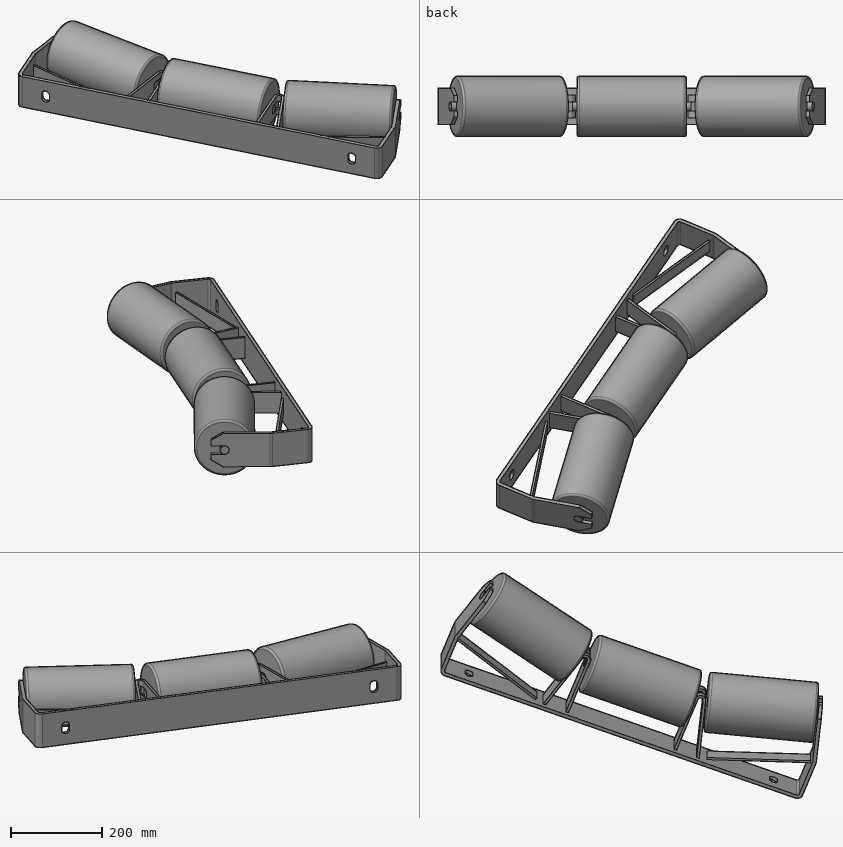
import cadquery as cq
import math


ROLLER_DIAMETER = 133.0
ROLLER_LENGTH = 240.0
ROLLER_EDGE_RADIUS = 5.0
SHAFT_DIAMETER = 20.0
ROLLER_GAP = 4.0
TROUGH_ANGLE = 15.0
CENTER_ROLLER_Y = 125.0
SIDE_ROLLER_X = 271.0
SIDE_ROLLER_Y = 161.0

FRAME_LENGTH = 850.0
FRAME_WIDTH = 80.0
FRAME_THICKNESS = 8.0
CORNER_INNER_RADIUS = 5.0
ARM_BEND_INNER_RADIUS = 10.0
ARM_TIP_Y = 224.0
ARM_TIP_WIDTH = 47.0
ARM_TAPER_LENGTH = 27.0
MOUNTING_SLOT_X = 358.0
MOUNTING_SLOT_WIDTH = 18.0
MOUNTING_SLOT_LENGTH = 28.0

BRACKET_WIDTH = 50.0
BRACKET_THICKNESS = 6.0
BRACKET_INNER_RADIUS = 6.0

STRUT_WIDTH = 35.0
STRUT_THICKNESS = 5.0
STRUT_ANGLE = 19.0
STRUT_FOOT_X = 202.0

TILT_SIN = math.sin(math.radians(TROUGH_ANGLE))
TILT_COS = math.cos(math.radians(TROUGH_ANGLE))
HALF_LENGTH = FRAME_LENGTH / 2
UPRIGHT_INNER_X = HALF_LENGTH - FRAME_THICKNESS
SUPPORT_OFFSET = ROLLER_LENGTH / 2 + ROLLER_GAP

AXIS = cq.Vector(TILT_COS, TILT_SIN)
ARM = cq.Vector(-TILT_SIN, TILT_COS)
SIDE_ROLLER_MIDDLE = cq.Vector(SIDE_ROLLER_X, SIDE_ROLLER_Y)
CENTER_ROLLER_MIDDLE = cq.Vector(0, CENTER_ROLLER_Y)


def xy(vector):
    return (vector.x, vector.y)


def extrude_strip(outline, width):
    """Close an XY outline and extrude it over a width centred on Z = 0."""
    return outline.close().extrude(width / 2, both=True)


def mirrored(body):
    return body.mirror("YZ")


def shaft_slot(center, axis, start, depth):
    """Cutter for a shaft slot, round at the shaft and open toward the tip of the support.

    It starts at the given distance along the axis from the roller middle.
    """
    tipward = cq.Vector(-axis.y, axis.x)
    plane = cq.Plane(
        origin=(center + axis * start).toTuple(),
        xDir=tipward.toTuple(),
        normal=axis.toTuple(),
    )
    radius = SHAFT_DIAMETER / 2
    return (
        cq.Workplane(plane)
        .moveTo(0, radius)
        .threePointArc((-radius, 0), (0, -radius))
        .lineTo(ROLLER_DIAMETER, -radius)
        .lineTo(ROLLER_DIAMETER, radius)
        .close()
        .extrude(depth)
    )


def make_roller(inner_shaft_reach, outer_shaft_reach):
    """Roller along X about the origin, its shaft reaching the given distances to -X and +X."""
    drum = (
        cq.Workplane("YZ", origin=(-ROLLER_LENGTH / 2, 0, 0))
        .circle(ROLLER_DIAMETER / 2)
        .extrude(ROLLER_LENGTH)
        .edges("%CIRCLE")
        .fillet(ROLLER_EDGE_RADIUS)
    )
    shaft = (
        cq.Workplane("YZ", origin=(-inner_shaft_reach, 0, 0))
        .circle(SHAFT_DIAMETER / 2)
        .extrude(inner_shaft_reach + outer_shaft_reach)
    )
    return drum.union(shaft)


def make_center_roller():
    reach = SUPPORT_OFFSET + BRACKET_THICKNESS
    return make_roller(reach, reach).translate(CENTER_ROLLER_MIDDLE)


def make_side_roller():
    roller = make_roller(SUPPORT_OFFSET + BRACKET_THICKNESS, SUPPORT_OFFSET + FRAME_THICKNESS)
    return roller.rotate((0, 0, 0), (0, 0, 1), TROUGH_ANGLE).translate(SIDE_ROLLER_MIDDLE)


def round_both_sides(body, corner, radius):
    """Round the edge along Z at an XY corner and its mirror image."""
    x, y = corner
    for edge_x in (-x, x):
        body = body.edges(cq.selectors.NearestToPointSelector((edge_x, y, 0))).fillet(radius)
    return body


def arm_tapers(inner_tip):
    """Cutters for the two sloping corners at the tip of the right arm."""
    plane = cq.Plane(origin=inner_tip.toTuple(), xDir=ARM.toTuple(), normal=AXIS.toTuple())
    upper_taper = (
        cq.Workplane(plane)
        .moveTo(0, ARM_TIP_WIDTH / 2)
        .lineTo(0, FRAME_WIDTH / 2)
        .lineTo(-ARM_TAPER_LENGTH, FRAME_WIDTH / 2)
        .close()
        .extrude(FRAME_THICKNESS)
    )
    return upper_taper.union(upper_taper.mirror("XY"))


def make_frame():
    arm_face = SIDE_ROLLER_MIDDLE + AXIS * (SUPPORT_OFFSET + FRAME_THICKNESS)
    outer_knee = arm_face - ARM * ((HALF_LENGTH - arm_face.x) / TILT_SIN)
    outer_tip = arm_face + ARM * ((ARM_TIP_Y - arm_face.y) / TILT_COS)
    inner_tip = outer_tip - AXIS * FRAME_THICKNESS
    knee_drop = FRAME_THICKNESS * math.tan(math.radians(TROUGH_ANGLE / 2))

    outer_corner = (HALF_LENGTH, 0)
    inner_corner = (UPRIGHT_INNER_X, FRAME_THICKNESS)
    inner_knee = (UPRIGHT_INNER_X, outer_knee.y - knee_drop)
    right_side = [outer_corner, xy(outer_knee), xy(outer_tip), xy(inner_tip), inner_knee, inner_corner]
    left_side = [(-x, y) for x, y in reversed(right_side)]
    frame = extrude_strip(cq.Workplane("XY").polyline(right_side + left_side), FRAME_WIDTH)

    frame = round_both_sides(frame, outer_corner, CORNER_INNER_RADIUS + FRAME_THICKNESS)
    frame = round_both_sides(frame, inner_corner, CORNER_INNER_RADIUS)
    frame = round_both_sides(frame, xy(outer_knee), ARM_BEND_INNER_RADIUS + FRAME_THICKNESS)
    frame = round_both_sides(frame, inner_knee, ARM_BEND_INNER_RADIUS)

    arm_slot = shaft_slot(SIDE_ROLLER_MIDDLE, AXIS, SUPPORT_OFFSET, FRAME_THICKNESS)
    arm_cuts = arm_slot.union(arm_tapers(inner_tip))
    mounting_slots = (
        cq.Workplane("XZ")
        .pushPoints([(-MOUNTING_SLOT_X, 0), (MOUNTING_SLOT_X, 0)])
        .slot2D(MOUNTING_SLOT_LENGTH, MOUNTING_SLOT_WIDTH, 90)
        .extrude(-FRAME_THICKNESS)
    )
    return frame.cut(arm_cuts).cut(mirrored(arm_cuts)).cut(mounting_slots)


def make_bracket():
    outer_radius = BRACKET_INNER_RADIUS + BRACKET_THICKNESS
    bend_x = SUPPORT_OFFSET + outer_radius
    side_face = SIDE_ROLLER_MIDDLE - AXIS * SUPPORT_OFFSET
    bend_y = (side_face.dot(AXIS) - outer_radius - bend_x * TILT_COS) / TILT_SIN
    bend = cq.Vector(bend_x, bend_y)
    mid_angle = math.radians((180 + TROUGH_ANGLE) / 2)
    crown = cq.Vector(math.cos(mid_angle), math.sin(mid_angle))

    def foot(radius):
        """Where a face of the tilted leg, tangent to the bend at this radius, meets the base."""
        start = bend + AXIS * radius
        return start - ARM * ((start.y - FRAME_THICKNESS) / TILT_COS)

    outline = (
        cq.Workplane("XY")
        .moveTo(bend.x - outer_radius, FRAME_THICKNESS)
        .lineTo(bend.x - outer_radius, bend.y)
        .threePointArc(xy(bend + crown * outer_radius), xy(bend + AXIS * outer_radius))
        .lineTo(*xy(foot(outer_radius)))
        .lineTo(*xy(foot(BRACKET_INNER_RADIUS)))
        .lineTo(*xy(bend + AXIS * BRACKET_INNER_RADIUS))
        .threePointArc(
            xy(bend + crown * BRACKET_INNER_RADIUS),
            (bend.x - BRACKET_INNER_RADIUS, bend.y),
        )
        .lineTo(bend.x - BRACKET_INNER_RADIUS, FRAME_THICKNESS)
    )
    bracket = extrude_strip(outline, BRACKET_WIDTH)

    center_slot = shaft_slot(CENTER_ROLLER_MIDDLE, cq.Vector(1, 0), SUPPORT_OFFSET, outer_radius)
    side_slot = shaft_slot(SIDE_ROLLER_MIDDLE, AXIS, -SUPPORT_OFFSET - outer_radius, outer_radius)
    return bracket.cut(center_slot).cut(side_slot)


def make_strut():
    slope = math.radians(STRUT_ANGLE)
    along = cq.Vector(math.cos(slope), math.sin(slope))
    across = cq.Vector(-math.sin(slope), math.cos(slope)) * STRUT_THICKNESS
    foot = cq.Vector(STRUT_FOOT_X, FRAME_THICKNESS)
    head = foot + along * ((UPRIGHT_INNER_X - foot.x) / along.x)
    corners = [foot, head, head + across, foot + across]
    return extrude_strip(cq.Workplane("XY").polyline([xy(corner) for corner in corners]), STRUT_WIDTH)


frame = make_frame()
center_roller = make_center_roller()
bodies = [frame.val(), center_roller.val()]
for right_body in (make_side_roller(), make_bracket(), make_strut()):
    bodies.append(right_body.val())
    bodies.append(mirrored(right_body).val())

result = cq.Compound.makeCompound(bodies)